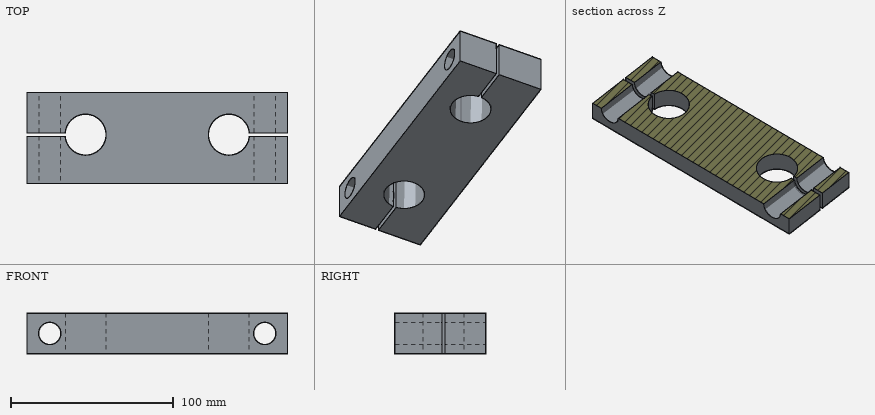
import cadquery as cq

LENGTH = 160.0
WIDTH = 56.0
HEIGHT = 25.0

BORE_DIAMETER = 25.0
BORE_SPACING = 88.0
BORE_FROM_BACK = 26.0

SLIT_WIDTH = 2.0

SCREW_DIAMETER = 13.5
SCREW_SPACING = 132.0

bore_y = WIDTH / 2 - BORE_FROM_BACK


def make_block():
    return cq.Workplane("XY").box(LENGTH, WIDTH, HEIGHT)


def rod_bore(x):
    return cq.Workplane("XY").center(x, bore_y).circle(BORE_DIAMETER / 2).extrude(HEIGHT, both=True)


def clamp_slit(side):
    """Slit from the end face to the bore centre; side is -1 or +1 along X."""
    inner_x = BORE_SPACING / 2
    slit_length = LENGTH / 2 - inner_x
    slit_x = side * (inner_x + slit_length / 2)
    return cq.Workplane("XY").box(slit_length, SLIT_WIDTH, HEIGHT).translate((slit_x, bore_y, 0))


def screw_hole(x):
    return cq.Workplane("XZ").center(x, 0).circle(SCREW_DIAMETER / 2).extrude(WIDTH, both=True)


result = make_block()
for side in (-1, 1):
    result = result.cut(rod_bore(side * BORE_SPACING / 2))
    result = result.cut(clamp_slit(side))
    result = result.cut(screw_hole(side * SCREW_SPACING / 2))